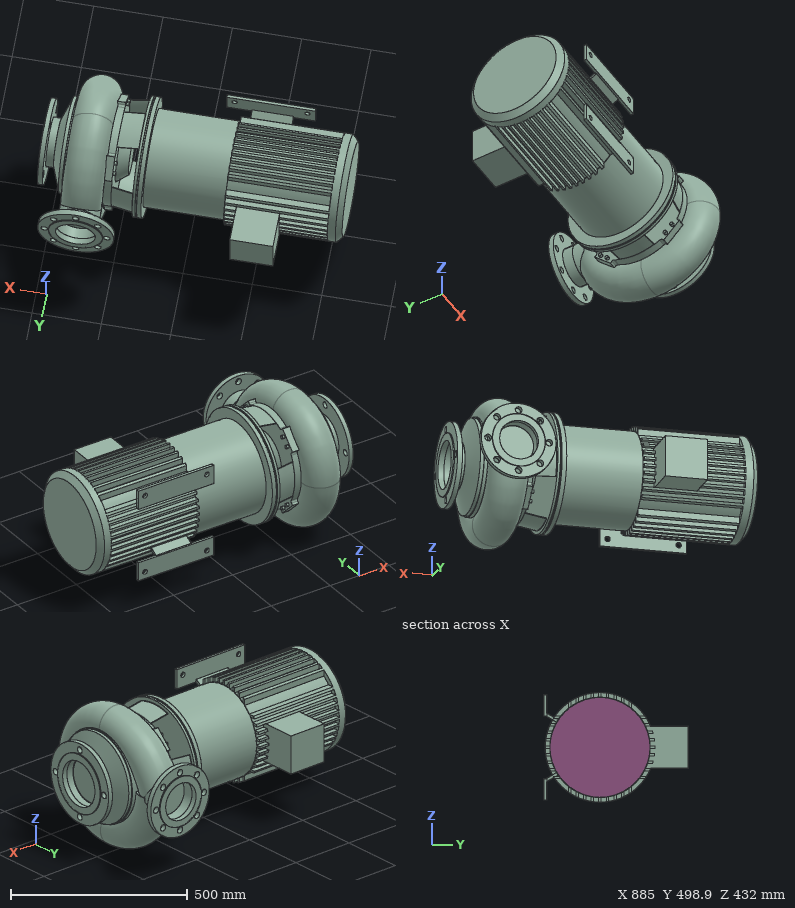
import cadquery as cq
import math


cap_radius = 156.0
cap_face_radius = 137.5
cap_chamfer_length = 16.5
cap_length = 40.0
barrel_radius = 285.0 / 2
fins_end_x = 339.0
fin_root_radius = 141.0
fin_thickness = 7.0
fin_pitch = 21.4
fins_each_side_of_middle = 4

box_start_x = 179.5
box_length = 125.0
box_width = 120.0
box_top_y = 251.0

foot_base_y = -160.0
foot_thickness = 9.0
foot_length = 256.0
foot_inner_z = 89.0
foot_outer_z = 150.0
foot_hole_diameter = 15.0
foot_hole_spacing = 210.0
foot_hole_z = 254.0 / 2
foot_middle_x = 256.5
foot_rib_start_x = 192.0
foot_rib_length = 120.0
foot_rib_thickness = 9.0
foot_rib_angle = 30.0
foot_rib_tip_radius = 188.0

joint_radius = 350.0 / 2
joint_start_x = 573.8
joint_groove_start_x = 587.2
joint_groove_width = 4.4
joint_groove_depth = 5.0
joint_end_x = 600.0

lantern_start_radius = 164.0
lantern_wall = 2.0
lantern_arm_width = 115.0
bearing_cone_start_x = 631.0
bearing_cone_start_radius = 58.0
bearing_cone_end_radius = 84.0

plate_radius = 308.2 / 2
plate_start_x = 664.3
pad_half_width = 36.8
pad_reach = 162.6
pad_fillet = 7.0
bolt_diameter = 10.43
bolt_head_height = 8.0
bolt_circle_radius = 153.3
bolt_half_angle = 5.75

volute_x = 744.2
tube_radius = 118.3 / 2
arc_offset_y = -5.75
arc_offset_z = -12.0
lower_outer_radius = 218.85
outlet_upper_center_z = -63.0
outlet_lower_center_z = 3.0
outlet_lower_end_angle = 358.0

discharge_face_y = 280.0
discharge_pipe_start_y = 190.0
discharge_bore = 114.3
discharge_bore_end_y = 229.0
discharge_flange_diameter = 220.0
discharge_flange_thickness = 16.0
discharge_face_diameter = 156.0
discharge_bolt_circle = 180.0
discharge_bolt_count = 8

cover_rim_radius = 143.5
cover_rim_end_x = 807.7
cover_radius = 280.0 / 2
cover_cone_start_x = 818.4
cover_cone_end_x = 844.5
suction_pipe_diameter = 143.7
suction_bore = 139.7
suction_flange_diameter = 250.0
suction_flange_thickness = 14.5
suction_face_diameter = 184.0
suction_face_x = 885.0
suction_bolt_circle = 210.0
suction_bolt_count = 4

raised_face_height = 3.5
flange_hole_diameter = 19.0


def turned(profile):
    """Solid of revolution about the X axis from (x, radius) points."""
    return cq.Workplane("XY").polyline(profile).close().revolve(360, (0, 0), (1, 0))


def disc(start_x, end_x, radius):
    """Cylinder on the X axis."""
    return cq.Workplane("YZ", origin=(start_x, 0, 0)).circle(radius).extrude(end_x - start_x)


def block(x_range, y_range, z_range):
    """Axis-aligned box given by its ranges."""
    (x0, x1), (y0, y1), (z0, z1) = x_range, y_range, z_range
    return cq.Workplane("XY").box(x1 - x0, y1 - y0, z1 - z0, centered=False).translate((x0, y0, z0))


def about_axis(shape, angle):
    """Shape turned about the X axis, from +Y towards +Z."""
    return shape.rotate((0, 0, 0), (1, 0, 0), angle)


def make_motor():
    """Motor body with parallel fins on its four sides, trimmed to the cap radius."""
    motor = turned([
        (0, 0),
        (0, cap_face_radius),
        (cap_chamfer_length, cap_radius),
        (cap_length, cap_radius),
        (cap_length, fin_root_radius),
        (fins_end_x, fin_root_radius),
        (fins_end_x, barrel_radius),
        (joint_start_x, barrel_radius),
        (joint_start_x, 0),
    ])
    last = fins_each_side_of_middle
    half = fin_thickness / 2
    slabs = cq.Workplane("XY")
    for index in range(-last, last + 1):
        middle = index * fin_pitch
        inner = math.sqrt(fin_root_radius**2 - (abs(middle) + half) ** 2) - half
        for low, high in ((inner, cap_radius), (-cap_radius, -inner)):
            across = (middle - half, middle + half)
            slabs = slabs.add(block((cap_length, fins_end_x), (low, high), across))
            slabs = slabs.add(block((cap_length, fins_end_x), across, (low, high)))
    envelope = disc(cap_length, fins_end_x, cap_radius)
    fins = envelope.intersect(cq.Workplane(cq.Compound.makeCompound(slabs.vals())))
    return motor.union(fins)


def make_terminal_box():
    return block(
        (box_start_x, box_start_x + box_length),
        (0, box_top_y),
        (-box_width / 2, box_width / 2),
    )


def make_upper_foot():
    """Drilled mounting plate held by a slanted rib on the motor."""
    half_length = foot_length / 2
    plate = block(
        (foot_middle_x - half_length, foot_middle_x + half_length),
        (foot_base_y, foot_base_y + foot_thickness),
        (foot_inner_z, foot_outer_z),
    )
    holes = (
        cq.Workplane("XZ", origin=(foot_middle_x, foot_base_y + foot_thickness, foot_hole_z))
        .rarray(foot_hole_spacing, 1, 2, 1)
        .circle(foot_hole_diameter / 2)
        .extrude(foot_thickness)
    )
    rib = block(
        (foot_rib_start_x, foot_rib_start_x + foot_rib_length),
        (-foot_rib_tip_radius, -fin_root_radius + foot_rib_thickness),
        (0, foot_rib_thickness),
    )
    rib = about_axis(rib, -foot_rib_angle)
    behind_base = block((0, joint_start_x), (foot_base_y + foot_thickness / 2, 0), (0, foot_outer_z))
    return plate.cut(holes).union(rib.intersect(behind_base))


def make_joint():
    groove_end_x = joint_groove_start_x + joint_groove_width
    joint = disc(joint_start_x, joint_end_x, joint_radius)
    groove = disc(joint_groove_start_x, groove_end_x, joint_radius).cut(
        disc(joint_groove_start_x, groove_end_x, joint_radius - joint_groove_depth)
    )
    return joint.cut(groove)


def make_lantern():
    """Conical shell with four diagonal windows, and the bearing cone seen through them."""
    shell = turned([
        (joint_end_x, lantern_start_radius),
        (plate_start_x, plate_radius),
        (plate_start_x, plate_radius - lantern_wall),
        (joint_end_x, lantern_start_radius - lantern_wall),
    ])
    half_arm = lantern_arm_width / 2
    for quarter in range(4):
        window = block(
            (joint_end_x, plate_start_x),
            (half_arm, joint_radius),
            (half_arm, joint_radius),
        )
        shell = shell.cut(about_axis(window, 90 * quarter))
    bearing_cone = turned([
        (bearing_cone_start_x, 0),
        (bearing_cone_start_x, bearing_cone_start_radius),
        (plate_start_x, bearing_cone_end_radius),
        (plate_start_x, 0),
    ])
    return shell.union(bearing_cone)


def make_pad():
    """Bolting pad on the +Y side, blended into the plate rim by concave fillets."""
    pad = block((plate_start_x, volute_x), (0, pad_reach), (-pad_half_width, pad_half_width))
    fillet_z = pad_half_width + pad_fillet
    fillet_y = math.sqrt((plate_radius + pad_fillet) ** 2 - fillet_z**2)
    foot_scale = plate_radius / (plate_radius + pad_fillet)
    for side in (-1, 1):
        corner = (
            cq.Workplane("YZ", origin=(plate_start_x, 0, 0))
            .moveTo(0, 0)
            .lineTo(fillet_y, side * pad_half_width)
            .lineTo(fillet_y, side * fillet_z)
            .lineTo(fillet_y * foot_scale, side * fillet_z * foot_scale)
            .close()
            .extrude(volute_x - plate_start_x)
        )
        hollow = (
            cq.Workplane("YZ", origin=(plate_start_x, fillet_y, side * fillet_z))
            .circle(pad_fillet)
            .extrude(volute_x - plate_start_x)
        )
        pad = pad.union(corner.cut(hollow))
    return pad


def make_back_plate():
    plate = disc(plate_start_x, volute_x, plate_radius)
    pad = make_pad()
    for quarter in range(4):
        diagonal = 45 + 90 * quarter
        plate = plate.union(about_axis(pad, diagonal))
        for side in (-1, 1):
            bolt = (
                cq.Workplane("YZ", origin=(plate_start_x - bolt_head_height, 0, 0))
                .center(bolt_circle_radius, 0)
                .circle(bolt_diameter / 2)
                .extrude(bolt_head_height)
            )
            plate = plate.union(about_axis(bolt, diagonal + side * bolt_half_angle))
    return plate


def tube_arc(center_y, center_z, centerline_radius, start_angle, end_angle):
    """Piece of bent tube; angles run from +Y towards +Z about the arc's centre."""
    arc = (
        cq.Workplane("XY")
        .center(volute_x, centerline_radius)
        .circle(tube_radius)
        .revolve(end_angle - start_angle, (0, -centerline_radius), (1, -centerline_radius))
    )
    return about_axis(arc, start_angle).translate((0, center_y, center_z))


def make_volute():
    """Spiral tube; each arc starts where its neighbour ends, with the same tangent."""
    lower_radius = lower_outer_radius - tube_radius
    upper_radius = lower_radius + arc_offset_y
    outlet_upper_radius = upper_radius + arc_offset_z - outlet_upper_center_z
    outlet_lower_radius = lower_radius - arc_offset_z + outlet_lower_center_z
    outlet_angle = math.degrees(math.asin(-outlet_upper_center_z / outlet_upper_radius))
    outlet_upper = tube_arc(
        arc_offset_y, outlet_upper_center_z, outlet_upper_radius, outlet_angle, 90
    )
    upper = tube_arc(arc_offset_y, arc_offset_z, upper_radius, 90, 180)
    lower = tube_arc(0, arc_offset_z, lower_radius, 180, 270)
    outlet_lower = tube_arc(
        0, outlet_lower_center_z, outlet_lower_radius, 270, outlet_lower_end_angle
    )
    return outlet_upper.union(upper).union(lower).union(outlet_lower)


def pipe_flange(diameter, thickness, face_diameter, bolt_circle, bolt_count):
    """Flange with bolt holes whose raised face looks along +Z and lies on Z = 0."""
    flange = (
        cq.Workplane("XY")
        .workplane(offset=-raised_face_height - thickness)
        .circle(diameter / 2)
        .extrude(thickness)
    )
    holes = (
        cq.Workplane("XY")
        .workplane(offset=-raised_face_height - thickness)
        .polarArray(bolt_circle / 2, 0, 360, bolt_count)
        .circle(flange_hole_diameter / 2)
        .extrude(thickness)
    )
    raised_face = cq.Workplane("XY").circle(face_diameter / 2).extrude(-raised_face_height)
    return flange.cut(holes).union(raised_face)


def make_discharge_nozzle():
    pipe = (
        cq.Workplane("XZ", origin=(volute_x, discharge_pipe_start_y, 0))
        .circle(tube_radius)
        .extrude(discharge_pipe_start_y - discharge_face_y)
    )
    flange = pipe_flange(
        discharge_flange_diameter,
        discharge_flange_thickness,
        discharge_face_diameter,
        discharge_bolt_circle,
        discharge_bolt_count,
    )
    flange = flange.rotate((0, 0, 0), (1, 0, 0), -90).translate((volute_x, discharge_face_y, 0))
    return pipe.union(flange)


def make_discharge_bore():
    return (
        cq.Workplane("XZ", origin=(volute_x, discharge_bore_end_y, 0))
        .circle(discharge_bore / 2)
        .extrude(discharge_bore_end_y - discharge_face_y)
    )


def make_suction_nozzle():
    """Conical front cover with its pipe neck and flange."""
    pipe_radius = suction_pipe_diameter / 2
    cover = turned([
        (volute_x, 0),
        (volute_x, cover_rim_radius),
        (cover_rim_end_x, cover_rim_radius),
        (cover_rim_end_x, cover_radius),
        (cover_cone_start_x, cover_radius),
        (cover_cone_end_x, pipe_radius),
        (suction_face_x, pipe_radius),
        (suction_face_x, 0),
    ])
    flange = pipe_flange(
        suction_flange_diameter,
        suction_flange_thickness,
        suction_face_diameter,
        suction_bolt_circle,
        suction_bolt_count,
    )
    flange = flange.rotate((0, 0, 0), (0, 1, 0), 90).translate((suction_face_x, 0, 0))
    return cover.union(flange)


def make_suction_bore():
    return disc(cover_cone_end_x, suction_face_x, suction_bore / 2)


upper_foot = make_upper_foot()
result = make_motor().union(make_terminal_box())
result = result.union(upper_foot).union(upper_foot.mirror("XY"))
result = result.union(make_joint()).union(make_lantern()).union(make_back_plate())
result = result.union(make_volute())
result = result.union(make_discharge_nozzle()).union(make_suction_nozzle())
result = result.cut(make_discharge_bore()).cut(make_suction_bore())